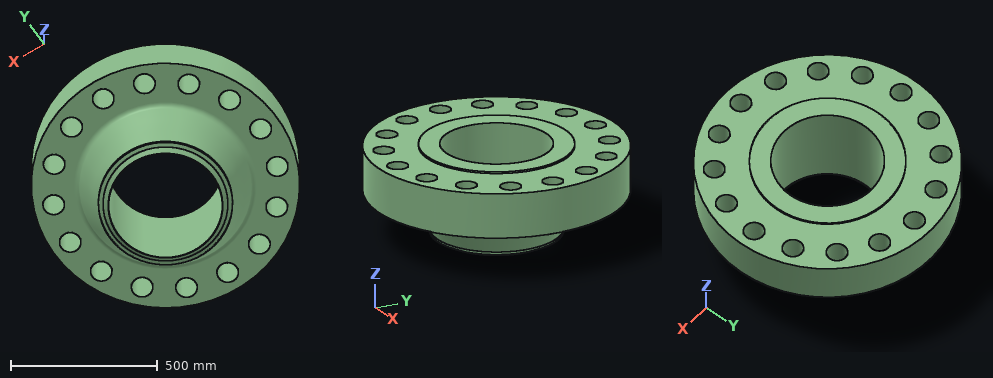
import cadquery as cq
import math

overall_height = 333.38

flange_diameter = 914.4
flange_thickness = 161.9
raised_face_diameter = 533.4
raised_face_height = 6.35

pipe_diameter = 457.2
pipe_wall = 34.925

hub_base_diameter = 596.9
hub_fillet_radius = 20.0
weld_end_height = 25.4

root_land = 1.6
steep_bevel_reach = 19.0
steep_bevel_angle = 37.5
shallow_bevel_angle = 10.0

bolt_count = 16
bolt_circle_diameter = 774.7
bolt_hole_diameter = 73.0

flange_radius = flange_diameter / 2
raised_face_radius = raised_face_diameter / 2
hub_base_radius = hub_base_diameter / 2
neck_radius = pipe_diameter / 2
bore_radius = neck_radius - pipe_wall
land_radius = bore_radius + root_land
bevel_break_radius = bore_radius + steep_bevel_reach

flange_top = overall_height - raised_face_height
flange_bottom = flange_top - flange_thickness
bevel_break_height = (bevel_break_radius - land_radius) * math.tan(math.radians(steep_bevel_angle))
shallow_bevel_height = (neck_radius - bevel_break_radius) * math.tan(math.radians(shallow_bevel_angle))
neck_bottom = bevel_break_height + shallow_bevel_height


def hub_fillet_points():
    """Start, middle and end of the arc that blends the hub taper into the underside of the flange."""
    taper_angle = math.atan2(flange_bottom - weld_end_height, hub_base_radius - neck_radius)
    tangent_length = hub_fillet_radius * math.tan(taper_angle / 2)
    centre_radius = hub_base_radius + tangent_length
    centre_height = flange_bottom - hub_fillet_radius

    def arc_point(angle):
        return (
            centre_radius + hub_fillet_radius * math.cos(angle),
            centre_height + hub_fillet_radius * math.sin(angle),
        )

    taper_normal = math.pi / 2 + taper_angle
    flange_normal = math.pi / 2
    middle_normal = (taper_normal + flange_normal) / 2
    return arc_point(taper_normal), arc_point(middle_normal), arc_point(flange_normal)


def flange_body():
    """Half section of the flange revolved about Z, bore included."""
    fillet_start, fillet_middle, fillet_end = hub_fillet_points()
    section = (
        cq.Workplane("XZ")
        .moveTo(bore_radius, 0)
        .lineTo(land_radius, 0)
        .lineTo(bevel_break_radius, bevel_break_height)
        .lineTo(neck_radius, neck_bottom)
        .lineTo(neck_radius, weld_end_height)
        .lineTo(*fillet_start)
        .threePointArc(fillet_middle, fillet_end)
        .lineTo(flange_radius, flange_bottom)
        .lineTo(flange_radius, flange_top)
        .lineTo(raised_face_radius, flange_top)
        .lineTo(raised_face_radius, overall_height)
        .lineTo(bore_radius, overall_height)
        .close()
    )
    return section.revolve(360, (0, 0, 0), (0, 1, 0))


def bolt_holes():
    """Evenly spaced cylinders running through the flange disc."""
    return (
        cq.Workplane("XY", origin=(0, 0, flange_bottom))
        .polarArray(bolt_circle_diameter / 2, 0, 360, bolt_count)
        .circle(bolt_hole_diameter / 2)
        .extrude(flange_thickness)
    )


result = flange_body().cut(bolt_holes())